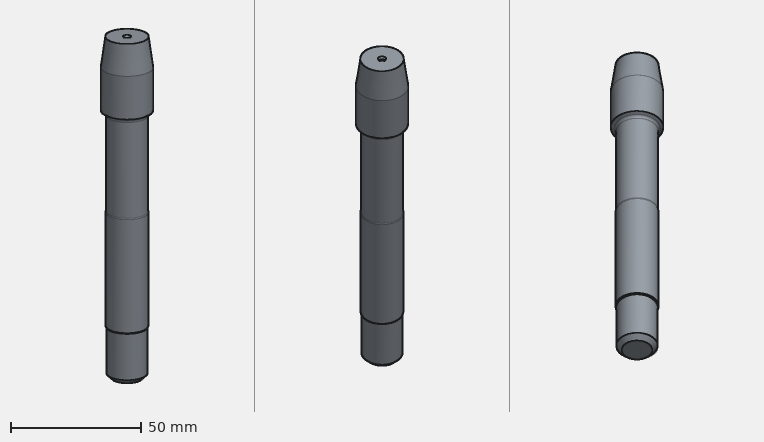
import cadquery as cq
import math

total_length = 140.0
nose_length = 12.5
head_edge_height = 109.7
seam_height = 68.6
tail_length = 21.0

head_diameter = 20.19
nose_tip_diameter = 16.7
upper_shank_diameter = 16.26
lower_shank_diameter = 16.56
tail_diameter = 15.9

head_chamfer_width = 1.25
head_chamfer_height = 0.6
head_fillet_radius = 1.5
lower_shank_chamfer_height = 0.5
tail_chamfer = 2.1

hole_diameter = 2.0
hole_depth = 4.0
countersink_diameter = 3.1
countersink_angle = 60.0
drill_point_angle = 118.0


def cone_height(large_diameter, small_diameter, full_angle):
    """Axial length of a cone with the given full angle between two diameters."""
    return (large_diameter - small_diameter) / 2 / math.tan(math.radians(full_angle / 2))


def revolve_profile(profile):
    """Close a half outline drawn as radius and height, and revolve it about Z."""
    return profile.close().revolve(360, (0, 0), (0, 1))


def make_body():
    """Turned pin: tail, lower and upper shank, head and tapered nose."""
    head_radius = head_diameter / 2
    upper_radius = upper_shank_diameter / 2
    lower_radius = lower_shank_diameter / 2
    tail_radius = tail_diameter / 2
    underside_radius = head_radius - head_chamfer_width
    underside_height = head_edge_height - head_chamfer_height
    fillet_center_radius = upper_radius + head_fillet_radius
    fillet_height = math.sqrt(head_fillet_radius**2 - (fillet_center_radius - underside_radius) ** 2)
    profile = (
        cq.Workplane("XZ")
        .lineTo(tail_radius - tail_chamfer, 0)
        .lineTo(tail_radius, tail_chamfer)
        .lineTo(tail_radius, tail_length)
        .lineTo(lower_radius, tail_length + lower_shank_chamfer_height)
        .lineTo(lower_radius, seam_height - lower_shank_chamfer_height)
        .lineTo(upper_radius, seam_height)
        .lineTo(upper_radius, underside_height - fillet_height)
        .radiusArc((underside_radius, underside_height), head_fillet_radius)
        .lineTo(head_radius, head_edge_height)
        .lineTo(head_radius, total_length - nose_length)
        .lineTo(nose_tip_diameter / 2, total_length)
        .lineTo(0, total_length)
    )
    return revolve_profile(profile)


def make_center_hole():
    """Countersunk blind hole with a drill-point bottom, open at the nose tip."""
    hole_radius = hole_diameter / 2
    countersink_depth = cone_height(countersink_diameter, hole_diameter, countersink_angle)
    point_depth = cone_height(hole_diameter, 0, drill_point_angle)
    hole_bottom = total_length - hole_depth
    profile = (
        cq.Workplane("XZ")
        .moveTo(0, hole_bottom - point_depth)
        .lineTo(hole_radius, hole_bottom)
        .lineTo(hole_radius, total_length - countersink_depth)
        .lineTo(countersink_diameter / 2, total_length)
        .lineTo(0, total_length)
    )
    return revolve_profile(profile)


result = make_body().cut(make_center_hole())